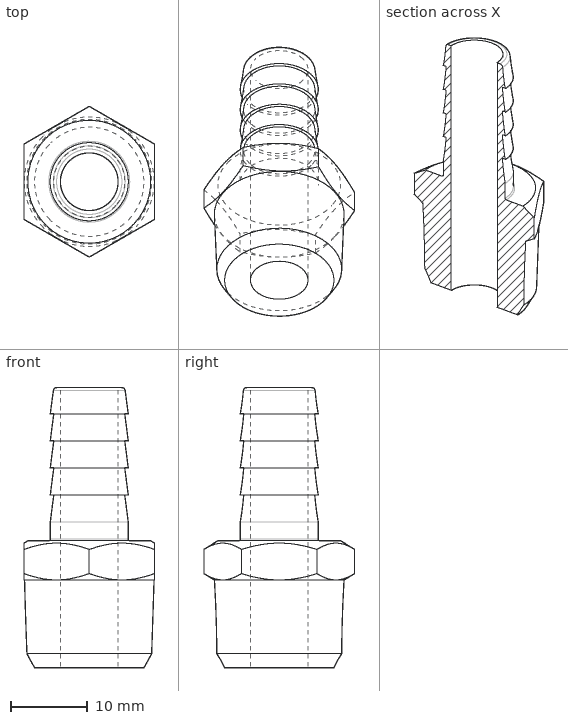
import cadquery as cq
import math

total_height = 36.5
lead_in_height = 1.85
hex_bottom = 11.42
hex_top = 16.57
collar_top = 18.98

bore_diameter = 7.5
barb_diameter = 10.2
barb_root_diameter = 9.27
thread_top_diameter = 16.9
thread_bottom_diameter = 16.28
lead_in_diameter = 14.25

across_flats = 17.0
across_corners = across_flats / math.cos(math.radians(30))
hex_face_diameter = 16.0
hex_chamfer_angle = 32.0

barb_count = 5
barb_pitch = 3.522
tip_fillet = 0.45
neck_fillet = 0.2


def make_thread_body():
    """Tapered male end with a conical lead-in."""
    return (
        cq.Workplane("XZ")
        .moveTo(0, 0)
        .lineTo(lead_in_diameter / 2, 0)
        .lineTo(thread_bottom_diameter / 2, lead_in_height)
        .lineTo(thread_top_diameter / 2, hex_bottom)
        .lineTo(0, hex_bottom)
        .close()
        .revolve(360, (0, 0, 0), (0, 1, 0))
    )


def make_hexagon():
    """Hexagon with corners on the Y axis and conically chamfered ends."""
    height = hex_top - hex_bottom
    prism = (
        cq.Workplane("XY", origin=(0, 0, hex_bottom))
        .transformed(rotate=(0, 0, 30))
        .polygon(6, across_corners)
        .extrude(height)
    )
    corner_radius = across_corners / 2
    slope = math.tan(math.radians(hex_chamfer_angle))
    top_drop = (corner_radius - hex_face_diameter / 2) * slope
    bottom_rise = (corner_radius - thread_top_diameter / 2) * slope
    envelope = (
        cq.Workplane("XZ")
        .moveTo(0, hex_bottom)
        .lineTo(thread_top_diameter / 2, hex_bottom)
        .lineTo(corner_radius, hex_bottom + bottom_rise)
        .lineTo(corner_radius, hex_top - top_drop)
        .lineTo(hex_face_diameter / 2, hex_top)
        .lineTo(0, hex_top)
        .close()
        .revolve(360, (0, 0, 0), (0, 1, 0))
    )
    return prism.intersect(envelope)


def make_hose_stem():
    """Collar with a filleted foot, topped by a row of tapered barbs."""
    barb_radius = barb_diameter / 2
    root_radius = barb_root_diameter / 2
    profile = (
        cq.Workplane("XZ")
        .moveTo(0, hex_top)
        .lineTo(barb_radius + neck_fillet, hex_top)
        .radiusArc((barb_radius, hex_top + neck_fillet), neck_fillet)
        .lineTo(barb_radius, collar_top)
    )
    for index in range(1, barb_count):
        step_height = collar_top + index * barb_pitch
        profile = profile.lineTo(root_radius, step_height).lineTo(barb_radius, step_height)
    stem = (
        profile.lineTo(root_radius, total_height)
        .lineTo(0, total_height)
        .close()
        .revolve(360, (0, 0, 0), (0, 1, 0))
    )
    return stem.faces(">Z").edges().fillet(tip_fillet)


bore = cq.Workplane("XY").circle(bore_diameter / 2).extrude(total_height)

result = make_thread_body().union(make_hexagon()).union(make_hose_stem()).cut(bore)